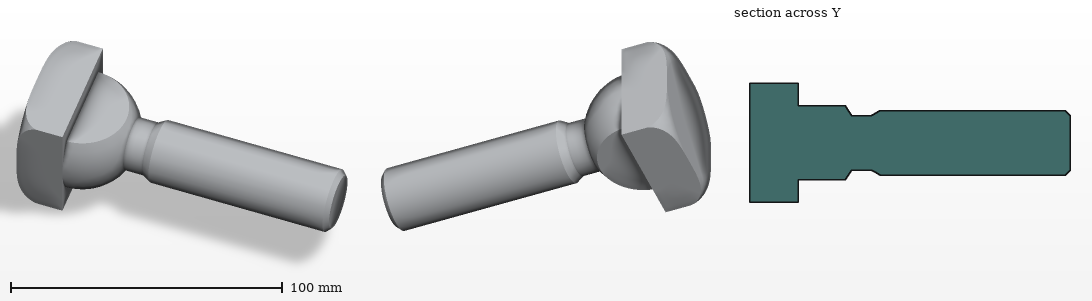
import cadquery as cq
import math

total_length = 118.0

head_width = 44.0
head_thickness = 18.0
corner_rounding = 9.2

collar_radius = head_width / 2
collar_thickness = 27.5

neck_diameter = 20.3
shank_diameter = 24.0
shank_length = 70.0
shoulder_angle = 30.0

shank_start = total_length - shank_length
thread_depth = (shank_diameter - neck_diameter) / 2
shoulder_length = thread_depth / math.tan(math.radians(shoulder_angle))


def make_head():
    """Square block whose outer corners are cut by a round-edged turned blank."""
    block = cq.Workplane("YZ").rect(head_width, head_width).extrude(head_thickness)
    blank_radius = head_width / 2 + corner_rounding
    blank = (
        cq.Workplane("YZ")
        .circle(blank_radius)
        .extrude(head_thickness)
        .faces("<X")
        .edges()
        .fillet(corner_rounding)
    )
    return block.intersect(blank)


def make_collar():
    """Half ball centred on the inner face of the head, cut to a flat thickness in Z."""
    ball = cq.Workplane("XY").sphere(collar_radius)
    half_slab = cq.Workplane("XY").box(
        collar_radius, head_width, collar_thickness, centered=(False, True, True)
    )
    return ball.intersect(half_slab).translate((head_thickness, 0, 0))


def make_stem():
    """Turned neck, conical shoulder and shank with a 45 degree end chamfer."""
    neck_radius = neck_diameter / 2
    shank_radius = shank_diameter / 2
    return (
        cq.Workplane("XY")
        .moveTo(head_thickness, 0)
        .lineTo(head_thickness, neck_radius)
        .lineTo(shank_start - shoulder_length, neck_radius)
        .lineTo(shank_start, shank_radius)
        .lineTo(total_length - thread_depth, shank_radius)
        .lineTo(total_length, neck_radius)
        .lineTo(total_length, 0)
        .close()
        .revolve(360, (0, 0, 0), (1, 0, 0))
    )


result = make_head().union(make_collar()).union(make_stem())